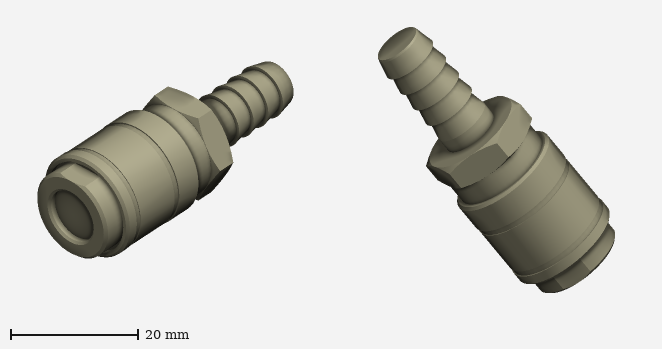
import cadquery as cq
import math

total_length = 48.0

nose_radius = 7.5
nose_chamfer = 0.5
nose_flat_offset = 7.0
nose_flat_length = 4.0
socket_radius = 4.5
socket_depth = 1.35
socket_chamfer = 0.4

sleeve_start = 3.5
sleeve_end = 20.4
sleeve_radius = 9.0
sleeve_middle_radius = 8.9
sleeve_chamfer = 0.45
sleeve_bore_radius = 7.95
sleeve_bore_depth = 0.95
groove_radius = 8.75
groove_width = 1.0
front_groove_start = 5.55
rear_groove_start = 14.5

neck_radius = 7.9
hex_start = 24.05
hex_end = 28.55
hex_across_flats = 16.0
hex_chamfer_angle = math.radians(30)

barb_count = 5
barb_pitch = 3.4
barb_large_radius = 4.55
barb_small_radius = 3.9
tail_chamfer_length = 0.35
tail_chamfer_depth = 0.15
barbs_start = total_length - barb_count * barb_pitch


def revolve_profile(points):
    """Turn a closed (radius, y) outline about the Y axis."""
    return cq.Workplane("XY").polyline(points).close().revolve(360, (0, 0, 0), (0, 1, 0))


def cylinder(radius, start, end):
    return revolve_profile([(0, start), (radius, start), (radius, end), (0, end)])


def make_nose():
    """Round nose with flats above and below that stop inside the sleeve mouth."""
    turned = revolve_profile([
        (0, 0),
        (nose_radius - nose_chamfer, 0),
        (nose_radius, nose_chamfer),
        (nose_radius, hex_start),
        (0, hex_start),
    ])
    flat_depth = nose_radius - nose_flat_offset
    for side in (1, -1):
        flat_cutter = cq.Workplane("XY").box(2 * nose_radius, nose_flat_length, flat_depth).translate(
            (0, nose_flat_length / 2, side * (nose_flat_offset + flat_depth / 2))
        )
        turned = turned.cut(flat_cutter)
    return turned


def make_socket():
    """Shallow round recess in the nose face, with a chamfered rim."""
    return revolve_profile([
        (0, 0),
        (socket_radius + socket_chamfer, 0),
        (socket_radius, socket_chamfer),
        (socket_radius, socket_depth),
        (0, socket_depth),
    ])


def make_sleeve():
    front_groove_end = front_groove_start + groove_width
    rear_groove_end = rear_groove_start + groove_width
    bore_floor = sleeve_start + sleeve_bore_depth
    return revolve_profile([
        (0, bore_floor),
        (sleeve_bore_radius, bore_floor),
        (sleeve_bore_radius, sleeve_start),
        (sleeve_radius - sleeve_chamfer, sleeve_start),
        (sleeve_radius, sleeve_start + sleeve_chamfer),
        (sleeve_radius, front_groove_start),
        (groove_radius, front_groove_start),
        (groove_radius, front_groove_end),
        (sleeve_middle_radius, front_groove_end),
        (sleeve_middle_radius, rear_groove_start),
        (groove_radius, rear_groove_start),
        (groove_radius, rear_groove_end),
        (sleeve_radius, rear_groove_end),
        (sleeve_radius, sleeve_end - sleeve_chamfer),
        (sleeve_radius - sleeve_chamfer, sleeve_end),
        (0, sleeve_end),
    ])


def make_hexagon():
    """Hexagon with corners on the X axis and both ends chamfered down to the flats."""
    flat_radius = hex_across_flats / 2
    corner_radius = flat_radius / math.cos(math.pi / 6)
    chamfer_length = (corner_radius - flat_radius) * math.tan(hex_chamfer_angle)
    prism = (
        cq.Workplane("XZ", origin=(0, hex_end, 0))
        .polygon(6, 2 * corner_radius)
        .extrude(hex_end - hex_start)
    )
    envelope = revolve_profile([
        (0, hex_start),
        (flat_radius, hex_start),
        (corner_radius, hex_start + chamfer_length),
        (corner_radius, hex_end - chamfer_length),
        (flat_radius, hex_end),
        (0, hex_end),
    ])
    return prism.intersect(envelope)


def make_hose_tail():
    """Plain shank followed by barbs that taper towards the free end."""
    points = [(0, hex_end), (barb_large_radius, hex_end)]
    for barb in range(barb_count):
        start = barbs_start + barb * barb_pitch
        points.append((barb_large_radius, start))
        if barb < barb_count - 1:
            points.append((barb_small_radius, start + barb_pitch))
    points += [
        (barb_small_radius, total_length - tail_chamfer_length),
        (barb_small_radius - tail_chamfer_depth, total_length),
        (0, total_length),
    ]
    return revolve_profile(points)


neck = cylinder(neck_radius, sleeve_end, hex_start)
result = (
    make_nose()
    .union(make_sleeve())
    .union(neck)
    .union(make_hexagon())
    .union(make_hose_tail())
    .cut(make_socket())
)